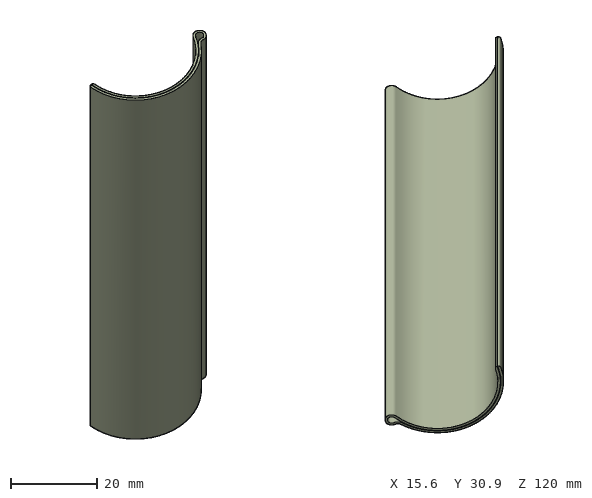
import cadquery as cq
import math

length = 120
outer_radius = 15.4
sheet = 0.6
gap = 0.1
loop_radius = 1.5
neck_radius = 1.2
loop_angle = 85.2
tip_angle = -63.9

outer_layer_inside = outer_radius - sheet
inner_layer_outside = outer_layer_inside - gap
inner_radius = inner_layer_outside - sheet


def polar(radius, angle, center=(0, 0)):
    """Point at a radius and an angle in degrees around a center."""
    turn = math.radians(angle)
    return (center[0] + radius * math.cos(turn), center[1] + radius * math.sin(turn))


loop_distance = inner_radius + loop_radius
loop_center = polar(loop_distance, loop_angle)

neck_distance = outer_radius + neck_radius
loop_to_neck = loop_radius + neck_radius
neck_cosine = (loop_distance**2 + neck_distance**2 - loop_to_neck**2) / (2 * loop_distance * neck_distance)
neck_angle = loop_angle - math.degrees(math.acos(neck_cosine))
neck_center = polar(neck_distance, neck_angle)
loop_neck_angle = math.degrees(
    math.atan2(neck_center[1] - loop_center[1], neck_center[0] - loop_center[0])
)

loop_end_angle = loop_angle + 180
loop_middle_angle = (loop_neck_angle + loop_end_angle) / 2

neck_start_angle = neck_angle + 180
neck_end_angle = loop_neck_angle + 180
neck_middle_angle = (neck_start_angle + neck_end_angle) / 2


def beyond_tip(radius, reach):
    """Point at a radius on the tip line, moved past that line by a reach."""
    return polar(reach, tip_angle - 90, polar(radius, tip_angle))


diagonal_offset = sheet * math.sin(math.radians(45))
outer_end_middle = beyond_tip(outer_layer_inside + diagonal_offset, diagonal_offset)
outer_end_corner = beyond_tip(outer_layer_inside, sheet)
inner_end_middle = beyond_tip(inner_layer_outside - diagonal_offset, diagonal_offset)
inner_end_corner = beyond_tip(inner_layer_outside, sheet)

outer_middle_angle = (tip_angle + neck_angle) / 2
inner_middle_angle = (tip_angle + loop_angle) / 2

profile = (
    cq.Workplane("XY")
    .moveTo(*polar(outer_radius, tip_angle))
    .threePointArc(polar(outer_radius, outer_middle_angle), polar(outer_radius, neck_angle))
    .threePointArc(
        polar(neck_radius, neck_middle_angle, neck_center),
        polar(neck_radius, neck_end_angle, neck_center),
    )
    .threePointArc(
        polar(loop_radius, loop_middle_angle, loop_center),
        polar(loop_radius, loop_end_angle, loop_center),
    )
    .threePointArc(polar(inner_radius, inner_middle_angle), polar(inner_radius, tip_angle))
    .threePointArc(inner_end_middle, inner_end_corner)
    .lineTo(*polar(inner_layer_outside, tip_angle))
    .threePointArc(
        polar(inner_layer_outside, inner_middle_angle), polar(inner_layer_outside, loop_angle)
    )
    .threePointArc(
        polar(loop_radius - sheet, loop_middle_angle, loop_center),
        polar(loop_radius - sheet, loop_neck_angle, loop_center),
    )
    .threePointArc(
        polar(neck_radius + sheet, neck_middle_angle, neck_center),
        polar(outer_layer_inside, neck_angle),
    )
    .threePointArc(
        polar(outer_layer_inside, outer_middle_angle), polar(outer_layer_inside, tip_angle)
    )
    .lineTo(*outer_end_corner)
    .threePointArc(outer_end_middle, polar(outer_radius, tip_angle))
    .close()
)

result = profile.extrude(length)